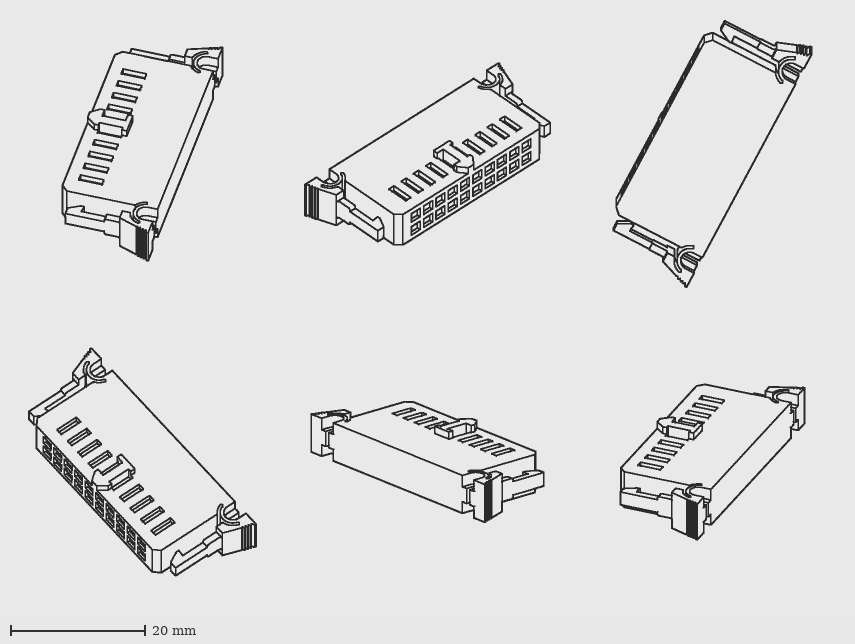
import cadquery as cq
import math

overall_length = 39.92
body_depth = 15.0
body_length = 30.0
body_height = 6.03
body_chamfer = 0.95
half_body = body_length / 2
mid_height = body_height / 2

column_count = 10
column_span = 22.85
pitch = column_span / (column_count - 1)
row_count = 2
socket_width = 1.85
socket_height = 1.65
socket_bevel = 0.3
socket_depth = 0.28

window_start = 2.0
window_end = 5.63
window_width = 1.05
window_depth = 0.95
window_shift = -0.35

key_height = 1.1
key_length = 6.4
key_width = 3.27
key_tip_width = 1.1
key_taper_length = 1.35

arm_inner = 16.7
arm_outer = 17.75
arm_start = 1.5
arm_height = 2.15
arm_root_start = 7.55
arm_root_height = 3.25
arm_root_round = 0.3
hook_front = 16.55
hook_tip = 15.6
hook_tip_start = 3.3
hook_tip_end = 3.85
hook_back = 3.7

head_start = 10.05
head_outer = 18.15
head_root_radius = head_outer - arm_outer
half_length = overall_length / 2

groove_count = 4
groove_span = 1.4
groove_pitch = groove_span / (groove_count - 1)
groove_rise = 0.13
first_groove_x = 13.1
first_groove_y = 19.1
slope_end_x = 12.95
slope_end_y = 19.2
tooth_height = 0.3
tooth_front_run = 0.1
tooth_crest = 0.15
head_land = 0.28

hinge_x = 13.55
hinge_y = 16.2
hinge_inner_radius = 1.3
hinge_outer_radius = 1.88
slot_outer_radius = 2.3
slot_half_angle = 74.0
bridge_overlap = 0.4
web_height = 2.4
web_gap = 0.75


def box(x_range, y_range, z_range):
    """Axis-aligned block between the given limits."""
    size = [high - low for low, high in (x_range, y_range, z_range)]
    corner = (x_range[0], y_range[0], z_range[0])
    return cq.Workplane("XY").box(*size, centered=False).translate(corner)


def centred(middle, size):
    """Limits of a stretch of the given size around its middle."""
    return middle - size / 2, middle + size / 2


def column_positions():
    """Y of every socket column."""
    return [(column - (column_count - 1) / 2) * pitch for column in range(column_count)]


def make_body():
    block = box((0, body_depth), centred(0, body_length), (0, body_height))
    return block.edges("|Z and <X").chamfer(body_chamfer)


def make_key():
    """Arrow-shaped key, pointing at the mating face."""
    return (
        cq.Workplane("XY", origin=(0, 0, body_height))
        .moveTo(0, -key_tip_width / 2)
        .lineTo(key_taper_length, -key_width / 2)
        .lineTo(key_length, -key_width / 2)
        .lineTo(key_length, key_width / 2)
        .lineTo(key_taper_length, key_width / 2)
        .lineTo(0, key_tip_width / 2)
        .close()
        .extrude(key_height)
    )


def make_socket(y, z):
    """Shallow recess whose four walls slope in to a flat floor."""
    return (
        cq.Workplane("YZ", origin=(0, y, z))
        .rect(socket_width, socket_height)
        .workplane(offset=socket_depth)
        .rect(socket_width - 2 * socket_bevel, socket_height - 2 * socket_bevel)
        .loft(ruled=True)
    )


def make_window(y):
    x_range = (window_start, window_end)
    return box(x_range, centred(y, window_width), (body_height - window_depth, body_height))


def make_key_notch(side):
    """Clears one side of the key over the window it stands on, out past the key's flank."""
    window_inner = side * (pitch - window_width) / 2 + window_shift
    y_range = sorted((window_inner, side * key_width))
    return box((window_start, window_end), y_range, (body_height, body_height + key_height))


def make_arm():
    """Thin arm with an inward hook at its free end."""
    return (
        cq.Workplane("XY", origin=(0, 0, mid_height - arm_height / 2))
        .moveTo(arm_start, arm_outer)
        .lineTo(head_start, arm_outer)
        .lineTo(head_start, arm_inner)
        .lineTo(hook_back, arm_inner)
        .lineTo(hook_tip_end, hook_tip)
        .lineTo(hook_tip_start, hook_tip)
        .lineTo(arm_start, hook_front)
        .close()
        .extrude(arm_height)
    )


def make_arm_root():
    """Taller stretch of the arm, with a concave fillet running up to the head."""
    z_range = centred(mid_height, arm_root_height)
    root = box((arm_root_start, head_start), (arm_inner, arm_outer), z_range)
    root = root.edges("|Y and <X").fillet(arm_root_round)
    fillet = (
        cq.Workplane("XY", origin=(0, 0, z_range[0]))
        .moveTo(head_start - head_root_radius, arm_outer)
        .radiusArc((head_start, head_outer), -head_root_radius)
        .lineTo(head_start, arm_outer)
        .close()
        .extrude(arm_root_height)
    )
    return root.union(fillet)


def make_head():
    """Full-height lever head with grip teeth on its sloping outer side."""
    outline = cq.Workplane("XY").moveTo(head_start, arm_inner).lineTo(head_start, head_outer)
    outline = outline.lineTo(slope_end_x, slope_end_y).lineTo(first_groove_x, first_groove_y)
    for groove in range(1, groove_count):
        groove_x = first_groove_x + groove * groove_pitch
        groove_y = first_groove_y + groove * groove_rise
        crest_x = groove_x - groove_pitch + tooth_front_run
        crest_y = groove_y - groove_rise + tooth_height
        outline = outline.lineTo(crest_x, crest_y)
        outline = outline.lineTo(crest_x + tooth_crest, crest_y + groove_rise / 2)
        outline = outline.lineTo(groove_x, groove_y)
    return (
        outline.lineTo(body_depth - head_land, half_length)
        .lineTo(body_depth, half_length)
        .lineTo(body_depth, arm_inner)
        .close()
        .extrude(body_height)
    )


def make_hinge_block():
    """Stock that the spring strip and its clearances are cut from."""
    disc = cq.Workplane("XY").center(hinge_x, hinge_y).circle(slot_outer_radius).extrude(body_height)
    bridge = box((hinge_x, body_depth), (half_body - bridge_overlap, arm_outer), (0, body_height))
    return disc.intersect(box((0, body_depth), (0, half_length), (0, body_height))).union(bridge)


def hinge_point(radius, angle):
    """Point around the hinge centre; the angle is measured from the -X direction."""
    turn = math.radians(angle)
    return hinge_x - radius * math.cos(turn), hinge_y + radius * math.sin(turn)


def make_hinge_slot():
    """C-shaped slot with round ends, outside the spring strip."""
    middle_radius = (hinge_outer_radius + slot_outer_radius) / 2
    cap_angle = math.degrees((slot_outer_radius - hinge_outer_radius) / 2 / middle_radius)
    end = slot_half_angle
    return (
        cq.Workplane("XY")
        .moveTo(*hinge_point(hinge_outer_radius, -end))
        .threePointArc(hinge_point(hinge_outer_radius, 0), hinge_point(hinge_outer_radius, end))
        .threePointArc(hinge_point(middle_radius, end + cap_angle), hinge_point(slot_outer_radius, end))
        .threePointArc(hinge_point(slot_outer_radius, 0), hinge_point(slot_outer_radius, -end))
        .threePointArc(hinge_point(middle_radius, -end - cap_angle), hinge_point(hinge_outer_radius, -end))
        .close()
        .extrude(body_height)
    )


def make_hinge_pocket():
    """U-shaped opening inside the spring strip, less two thin webs with a gap between them."""
    pocket = (
        cq.Workplane("XY")
        .moveTo(body_depth, hinge_y + hinge_inner_radius)
        .lineTo(hinge_x, hinge_y + hinge_inner_radius)
        .threePointArc((hinge_x - hinge_inner_radius, hinge_y), (hinge_x, hinge_y - hinge_inner_radius))
        .lineTo(body_depth, hinge_y - hinge_inner_radius)
        .close()
        .extrude(body_height)
    )
    webs = box((0, body_depth), (0, half_length), centred(mid_height, web_height))
    gap = box((0, body_depth), centred(hinge_y, web_gap), (0, body_height))
    return pocket.cut(webs.cut(gap))


def make_latch():
    return make_arm().union(make_arm_root()).union(make_head()).union(make_hinge_block())


latch = make_latch()
hinge_cut = make_hinge_slot().union(make_hinge_pocket())

result = make_body().union(make_key())
result = result.union(latch).union(latch.mirror("XZ"))
result = result.cut(hinge_cut).cut(hinge_cut.mirror("XZ"))

for column_y in column_positions():
    for row in range(row_count):
        row_z = mid_height + (row - (row_count - 1) / 2) * pitch
        result = result.cut(make_socket(column_y, row_z))
    result = result.cut(make_window(column_y + window_shift))

for key_side in (-1, 1):
    result = result.cut(make_key_notch(key_side))